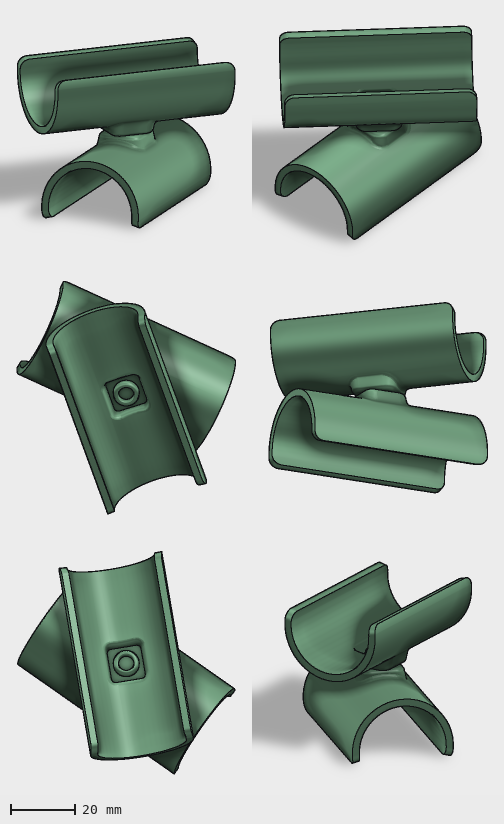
import cadquery as cq
import math

outer_radius = 16.3
wall = 2.3
inner_radius = outer_radius - wall
overall_size = 65.5
saddle_length = overall_size * math.sqrt(2) - 2 * outer_radius
lip_angle = 15
lip_corner_radius = 3.0

boss_height = 2.5
boss_face_width = 14.0
boss_draft = 12
flat_width = 8.0
boss_edge_radius = 1.5
boss_root_radius = 1.5
boss_floor = 2.3
pocket_floor_width = 10.7
pocket_rim_radius = 1.5

block_depth = 9.15
contact_tolerance = 0.0005
axis_depth = boss_height + outer_radius
cross_angle = 45

pin_radius = 4.05
pin_projection = 2.35
pin_edge_radius = 1.2
recess_edge_radius = 0.45
recess_radius = pin_radius - pin_edge_radius - recess_edge_radius


def cylinder_along_y(radius, length):
    """Cylinder centred on the clip axis."""
    return (
        cq.Workplane("XZ", origin=(0, length / 2, -axis_depth))
        .circle(radius)
        .extrude(length)
    )


def drafted_square(top_z, top_width):
    """Square block with conical corners, widening downwards from top_z."""
    corner_radius = (top_width - flat_width) / 2
    outline = cq.Sketch().rect(top_width, top_width).vertices().fillet(corner_radius)
    return (
        cq.Workplane("XY", origin=(0, 0, top_z))
        .placeSketch(outline)
        .extrude(-block_depth, taper=-boss_draft)
    )


def saddle_blank():
    """Solid saddle, not yet bored, cut off by the two radial lip planes."""
    reach = 2 * outer_radius
    drop = reach * math.tan(math.radians(lip_angle))
    opening = (
        cq.Workplane("XZ", origin=(0, saddle_length, -axis_depth))
        .polyline([(0, 0), (reach, -drop), (reach, -reach), (-reach, -reach), (-reach, -drop)])
        .close()
        .extrude(2 * saddle_length)
    )
    return cylinder_along_y(outer_radius, saddle_length).cut(opening)


def edges_of_contact(body, first_tool, second_tool):
    """Edges of body that lie on the surfaces of both tools."""
    shells = first_tool.shells().vals() + second_tool.shells().vals()
    touching = []
    for edge in body.edges().vals():
        middle = edge.positionAt(0.5)
        point = cq.Vertex.makeVertex(*middle.toTuple())
        if all(shell.distance(point) < contact_tolerance for shell in shells):
            touching.append(edge)
    return body.newObject(touching)


def round_lip_corners(clip):
    """Round the end corners of both lips, on the edges that run through the wall."""
    below_axis = cq.selectors.BoxSelector(
        (-2 * outer_radius, -saddle_length, -axis_depth),
        (2 * outer_radius, saddle_length, -axis_depth - outer_radius),
    )
    corners = clip.edges(below_axis).edges("#Y").edges("%LINE")
    return corners.fillet(lip_corner_radius)


def make_clip():
    """Clip whose boss face looks up."""
    saddle = saddle_blank()
    boss = drafted_square(0, boss_face_width)
    boss = boss.faces(">Z").edges().fillet(boss_edge_radius)
    clip = saddle.union(boss)
    clip = edges_of_contact(clip, saddle, boss).fillet(boss_root_radius)

    bore = cylinder_along_y(inner_radius, saddle_length)
    pocket = drafted_square(-boss_floor, pocket_floor_width)
    clip = clip.cut(bore).cut(pocket)
    clip = edges_of_contact(clip, bore, pocket).fillet(pocket_rim_radius)

    clip = round_lip_corners(clip)
    pin_hole = cq.Workplane("XY").circle(pin_radius).extrude(-axis_depth)
    return clip.cut(pin_hole)


def make_pin():
    """Straight pin with rounded ends, each with a blind recess."""
    tip = boss_floor + pin_projection
    half = (
        cq.Workplane("XZ")
        .lineTo(pin_radius, 0)
        .lineTo(pin_radius, tip - pin_edge_radius)
        .tangentArcPoint((pin_radius - pin_edge_radius, tip), relative=False)
        .tangentArcPoint((recess_radius, tip - recess_edge_radius), relative=False)
        .lineTo(recess_radius, boss_floor)
        .lineTo(0, boss_floor)
        .close()
        .revolve(360, (0, 0, 0), (0, 1, 0))
    )
    return half.union(half.mirror("XY"))


lower_clip = make_clip()
upper_clip = (
    make_clip()
    .rotate((0, 0, 0), (0, 1, 0), 180)
    .rotate((0, 0, 0), (0, 0, 1), -cross_angle)
)
pin = make_pin()

result = cq.Compound.makeCompound([lower_clip.val(), upper_clip.val(), pin.val()])